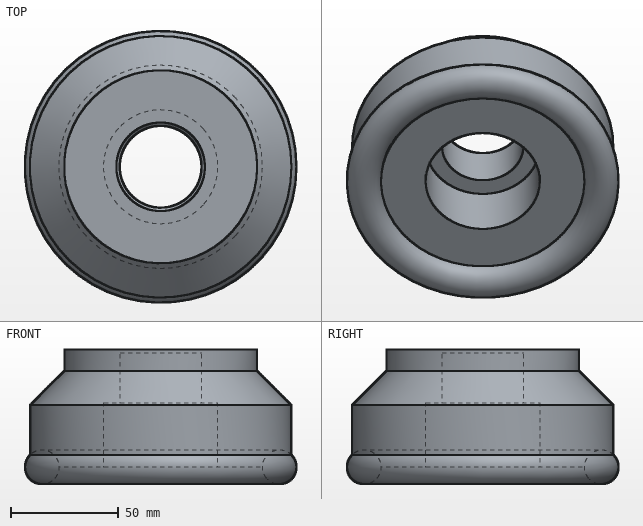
import cadquery as cq

ring_outer_radius = 63.5
ring_section_radius = 8.0
ring_center_radius = ring_outer_radius - ring_section_radius
ring_center_height = ring_section_radius

total_height = 63.0
body_radius = 61.1
neck_radius = 45.1
neck_height = 10.0
shoulder_height = body_radius - neck_radius
shoulder_top = total_height - neck_height
shoulder_bottom = shoulder_top - shoulder_height
housing_bottom = ring_center_height

bore_radius = 19.0
bore_length = 25.0
bore_chamfer = 1.7
cavity_radius = 26.7
cavity_top = total_height - bore_length


def make_ring():
    """Torus about Z, resting on Z = 0."""
    return (
        cq.Workplane("XZ")
        .center(ring_center_radius, ring_center_height)
        .circle(ring_section_radius)
        .revolve(360, (-ring_center_radius, 0), (-ring_center_radius, 1))
    )


def make_housing(ring):
    """Revolved housing with a groove that matches the ring."""
    half_section = [
        (cavity_radius, housing_bottom),
        (body_radius, housing_bottom),
        (body_radius, shoulder_bottom),
        (neck_radius, shoulder_top),
        (neck_radius, total_height),
        (bore_radius + bore_chamfer, total_height),
        (bore_radius, total_height - bore_chamfer),
        (bore_radius, cavity_top),
        (cavity_radius, cavity_top),
    ]
    blank = cq.Workplane("XZ").polyline(half_section).close().revolve(360, (0, 0), (0, 1))
    return blank.cut(ring)


ring = make_ring()
housing = make_housing(ring)

result = cq.Compound.makeCompound([housing.val(), ring.val()])